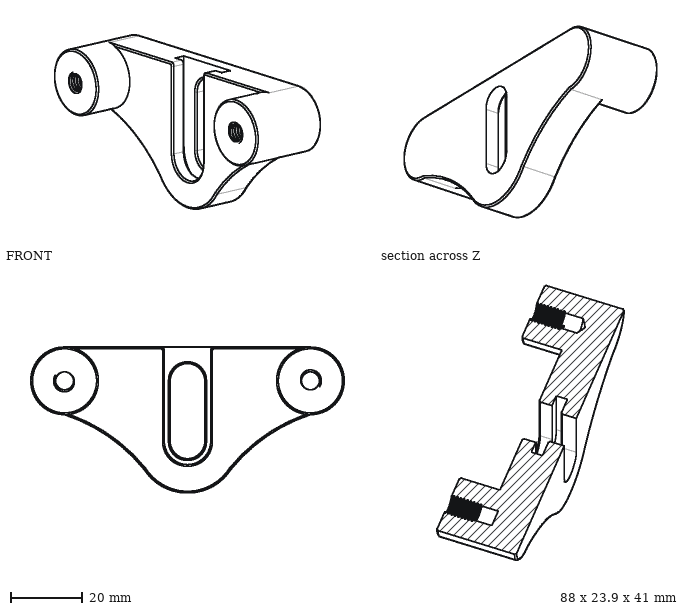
import cadquery as cq
import math


boss_diameter = 19.0
boss_radius = boss_diameter / 2
boss_length = 23.9
overall_width = 88.0
boss_x = (overall_width - boss_diameter) / 2
edge_chamfer = 0.5
chamfer_angle = 45.0

plate_thickness = 11.9
overall_height = 41.0
lobe_radius = 14.5
lobe_z = boss_radius - overall_height + lobe_radius
lobe_end_drop = 7.75
flank_radius = 48.0

floor_thickness = 4.7
track_width = 20.0
track_height = 3.2
neck_width = 13.0
mouth_fillet = 1.0
lip_depth = floor_thickness + track_height

slot_width = 9.7
slot_top_z = 0.0

minor_diameter = 5.04
major_diameter = 6.15
pitch = 1.0
root_flat = pitch / 8
hole_depth = 14.0
thread_turns = 10
thread_angle = 60.0
tip_angle = 118.0
left_start_angle = 90.0
right_start_angle = 270.0
bore_overlap = 0.05


def arc_middle(start, end, radius):
    """Middle point of the arc bulging to the left of the start-to-end direction."""
    dx = end[0] - start[0]
    dz = end[1] - start[1]
    chord = math.hypot(dx, dz)
    bulge = radius - math.sqrt(radius**2 - (chord / 2) ** 2)
    middle_x = (start[0] + end[0]) / 2 - dz / chord * bulge
    middle_z = (start[1] + end[1]) / 2 + dx / chord * bulge
    return middle_x, middle_z


def neck_notch(outline):
    """Continue an outline along the top, from right to left, around the neck of the track."""
    half_width = neck_width / 2
    mouth_x = half_width + mouth_fillet
    fillet_z = boss_radius - mouth_fillet
    corner = mouth_fillet * (1 - math.sqrt(0.5))
    return (
        outline.lineTo(mouth_x, boss_radius)
        .threePointArc((half_width + corner, boss_radius - corner), (half_width, fillet_z))
        .lineTo(half_width, lobe_z)
        .threePointArc((0, lobe_z - half_width), (-half_width, lobe_z))
        .lineTo(-half_width, fillet_z)
        .threePointArc((-half_width - corner, boss_radius - corner), (-mouth_x, boss_radius))
    )


def plate_outline(has_neck):
    """Rounded ends, concave flanks and a rounded bottom lobe, with or without the neck."""
    lobe_end_x = math.sqrt(lobe_radius**2 - lobe_end_drop**2)
    lobe_end_z = lobe_z - lobe_end_drop
    left_boss_bottom = (-boss_x, -boss_radius)
    left_lobe_end = (-lobe_end_x, lobe_end_z)
    left_flank_middle = arc_middle(left_boss_bottom, left_lobe_end, flank_radius)
    right_flank_middle = (-left_flank_middle[0], left_flank_middle[1])
    outline = cq.Workplane("XZ").moveTo(boss_x, boss_radius)
    if has_neck:
        outline = neck_notch(outline)
    return (
        outline.lineTo(-boss_x, boss_radius)
        .threePointArc((-boss_x - boss_radius, 0), left_boss_bottom)
        .threePointArc(left_flank_middle, left_lobe_end)
        .threePointArc((0, lobe_z - lobe_radius), (lobe_end_x, lobe_end_z))
        .threePointArc(right_flank_middle, (boss_x, -boss_radius))
        .threePointArc((boss_x + boss_radius, 0), (boss_x, boss_radius))
        .close()
    )


def plate_layer(has_neck, start_depth, end_depth, rim_taper=0):
    """Slab of the plate outline between two depths measured from the back face, shrinking by the taper."""
    slab = plate_outline(has_neck).extrude(end_depth - start_depth, taper=rim_taper)
    return slab.translate((0, -start_depth, 0))


def make_plate():
    """Full layer at the back and necked layer in front, both with a chamfered outer rim."""
    front_rim_depth = plate_thickness - edge_chamfer
    back_rim = plate_layer(False, 0, edge_chamfer, chamfer_angle)
    back_rim = back_rim.mirror("XZ").translate((0, -edge_chamfer, 0))
    plate = back_rim.union(plate_layer(False, edge_chamfer, lip_depth))
    plate = plate.union(plate_layer(True, lip_depth, front_rim_depth))
    return plate.union(plate_layer(True, front_rim_depth, plate_thickness, chamfer_angle))


def track_cutter():
    """Wide part of the track, open at the top and round at the lobe centre."""
    half_width = track_width / 2
    channel = (
        cq.Workplane("XZ", origin=(0, -floor_thickness, 0))
        .moveTo(-half_width, boss_radius)
        .lineTo(-half_width, lobe_z)
        .threePointArc((0, lobe_z - half_width), (half_width, lobe_z))
        .lineTo(half_width, boss_radius)
        .close()
    )
    return channel.extrude(track_height)


def slot_cutter(start_depth, end_depth, flare_angle=0):
    """Vertical slot with round ends; it widens by the flare angle."""
    slot_centre = (0, -start_depth, (slot_top_z + lobe_z) / 2)
    slot_length = slot_top_z - lobe_z + slot_width
    slot = cq.Workplane("XZ", origin=slot_centre).slot2D(slot_length, slot_width, 90)
    return slot.extrude(end_depth - start_depth, taper=-flare_angle)


def make_boss():
    """Boss on the origin axis with both ends chamfered."""
    boss = cq.Workplane("XZ").circle(boss_radius).extrude(boss_length)
    return boss.faces("<Y or >Y").chamfer(edge_chamfer)


def thread_cutter(start_angle):
    """Helical groove along +Z from Z = 0, its root at the start angle in the plane Z = 0."""
    minor_radius = minor_diameter / 2
    root_radius = major_diameter / 2
    inner_radius = minor_radius - bore_overlap
    root_half_width = root_flat / 2
    flank_slope = math.tan(math.radians(thread_angle / 2))
    inner_half_width = root_half_width + (root_radius - inner_radius) * flank_slope
    helix = cq.Wire.makeHelix(pitch, pitch * thread_turns, minor_radius)
    profile = (
        cq.Workplane("XZ")
        .moveTo(inner_radius, -inner_half_width)
        .lineTo(root_radius, -root_half_width)
        .lineTo(root_radius, root_half_width)
        .lineTo(inner_radius, inner_half_width)
        .close()
    )
    groove = profile.sweep(cq.Workplane(obj=helix), isFrenet=True)
    return groove.rotate((0, 0, 0), (0, 0, 1), start_angle)


def hole_cutter(has_drill_tip, start_angle):
    """Threaded hole entering the boss face toward +Y, with a flat or a conical bottom."""
    minor_radius = minor_diameter / 2
    bore = cq.Workplane("XY").circle(minor_radius).extrude(hole_depth)
    if has_drill_tip:
        tip_length = minor_radius / math.tan(math.radians(tip_angle / 2))
        tip = cq.Solid.makeCone(minor_radius, 0, tip_length, pnt=cq.Vector(0, 0, hole_depth))
        bore = bore.union(cq.Workplane(obj=tip))
    groove = thread_cutter(start_angle).translate((0, 0, -pitch))
    cutter = bore.union(groove)
    return cutter.rotate((0, 0, 0), (1, 0, 0), -90).translate((0, -boss_length, 0))


def make_bracket():
    """Chamfered plate with bosses, track, slot and threaded holes."""
    body = make_plate()
    boss = make_boss()
    for side in (-1, 1):
        body = body.union(boss.translate((side * boss_x, 0, 0)))
    body = body.cut(track_cutter())
    body = body.cut(slot_cutter(0, floor_thickness))
    body = body.cut(slot_cutter(floor_thickness - edge_chamfer, floor_thickness, chamfer_angle))
    body = body.cut(hole_cutter(True, left_start_angle).translate((-boss_x, 0, 0)))
    return body.cut(hole_cutter(False, right_start_angle).translate((boss_x, 0, 0)))


result = make_bracket()